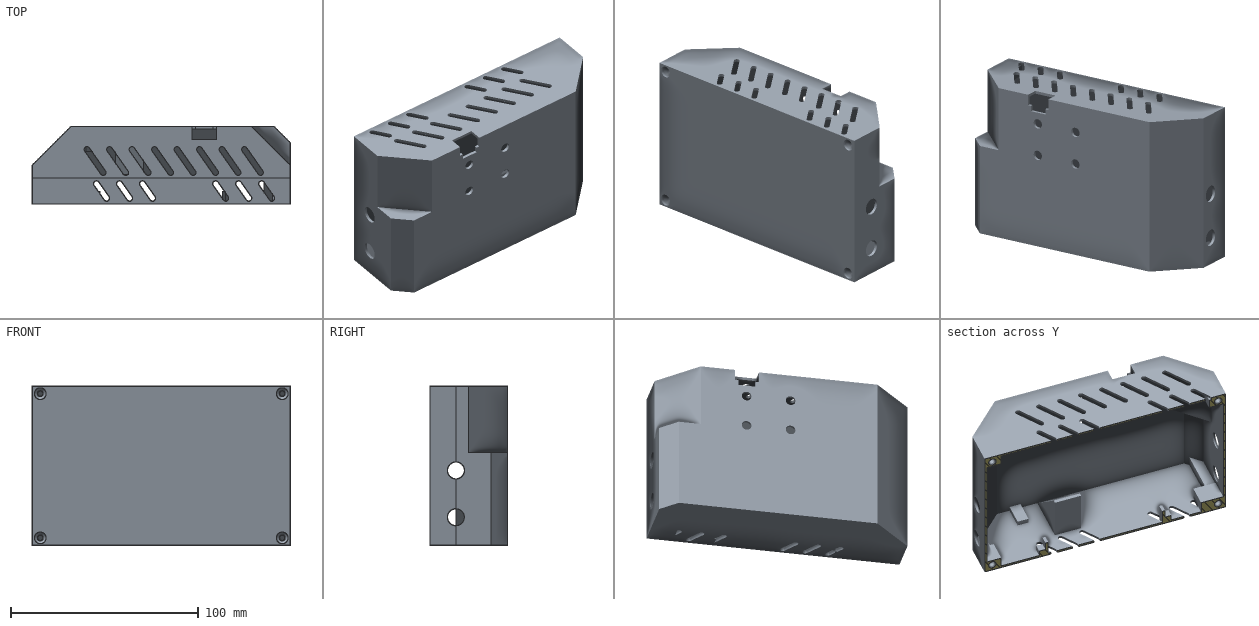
import cadquery as cq
import math

LENGTH = 138.0
DEPTH = 41.5
HEIGHT = 85.0
SEAM_Y = 14.0
WALL = 1.5
SIDE_CHAMFER = 20.8
CHAMFER_ANGLE = 45.0

CORNER_HEIGHT = 49.7
CORNER_CHAMFER = 8.8

SCREW_X_INSET = 4.4
SCREW_Z_INSET = 4.0
BOSS_HEIGHT = 7.3
HOUSING_BOSS_WIDTH = 7.3
LID_BOSS_WIDTH = 9.5
SCREW_HEAD_D = 6.2
SCREW_HEAD_DEPTH = 1.8
SCREW_CLEARANCE_D = 3.2
SCREW_PILOT_D = 2.8
SCREW_PILOT_DEPTH = 5.5

SLOT_WIDTH = 3.0
SLOT_TILT = 35.0
HOUSING_SLOT_LENGTH = 18.1
HOUSING_SLOT_COUNT = 8
HOUSING_SLOT_PITCH = 12.0
HOUSING_SLOT_X = 33.7
HOUSING_SLOT_Y = 23.0
LID_SLOT_LENGTH = 12.4
LID_SLOT_COUNT = 3
LID_SLOT_PITCH = 12.3
LID_SLOT_GROUP_X = (37.1, 100.7)
LID_SLOT_Y = 7.0

CABLE_HOLE_D = 9.0
CABLE_LOW_Z = 15.0
CABLE_HIGH_Z = 40.0

NOTCH_X = 91.9
NOTCH_WIDTH = 13.0
NOTCH_DEPTH = 7.0
NOTCH_DROP = 6.0
NOTCH_THROAT_WIDTH = 9.2
NOTCH_THROAT_DROP = 9.0

MOUNT_HOLE_D = 5.2
MOUNT_X = 80.2
MOUNT_Z = 60.7
MOUNT_SPACING_X = 24.0
MOUNT_SPACING_Z = 18.0

SUPPORT_X_INSET = 36.5
SUPPORT_WIDTH = 5.2
SUPPORT_STEP = 1.7
SUPPORT_TOP_Y = 6.9
SUPPORT_HEIGHT = 9.7
SUPPORT_FOOT_HEIGHT = 4.8

END_PAD_X = 123.8
END_PAD_HEIGHT = 8.3

WEDGE_START_X = 44.6
WEDGE_WIDTH = 15.0
WEDGE_CREST_Y = 15.7

LUG_X = 28.7
LUG_LENGTH = 6.2
LUG_FRONT_Y = 28.0
LUG_HEIGHT = 2.8


def box(x0, x1, y0, y1, z0, z1):
    """Box between two opposite corners."""
    return cq.Workplane("XY").box(x1 - x0, y1 - y0, z1 - z0, centered=False).translate((x0, y0, z0))


def cylinder_y(diameter, x, z, y0, y1):
    """Cylinder along Y from y0 to y1."""
    return cq.Workplane("XZ", origin=(x, y0, z)).circle(diameter / 2).extrude(y0 - y1)


def cylinder_x(diameter, y, z, x0, x1):
    """Cylinder along X from x0 to x1."""
    return cq.Workplane("YZ", origin=(x0, y, z)).circle(diameter / 2).extrude(x1 - x0)


def housing_form(inset):
    """Housing envelope, with every outer face but the seam moved inward by `inset`."""
    left, right, back = inset, LENGTH - inset, DEPTH - inset
    slant = inset * math.tan(math.radians(CHAMFER_ANGLE / 2))
    chamfer_y = DEPTH - SIDE_CHAMFER - slant
    chamfer_x = SIDE_CHAMFER + slant
    outline = [
        (left, SEAM_Y),
        (right, SEAM_Y),
        (right, chamfer_y),
        (LENGTH - chamfer_x, back),
        (chamfer_x, back),
        (left, chamfer_y),
    ]
    main = cq.Workplane("XY", origin=(0, 0, inset)).polyline(outline).close().extrude(HEIGHT - 2 * inset)
    corner_cut = CORNER_CHAMFER + slant
    corner_outline = [
        (right, SEAM_Y),
        (right, DEPTH - corner_cut),
        (LENGTH - corner_cut, back),
        (LENGTH - chamfer_x, back),
        (LENGTH - chamfer_x, SEAM_Y),
    ]
    corner = (
        cq.Workplane("XY", origin=(0, 0, inset))
        .polyline(corner_outline)
        .close()
        .extrude(CORNER_HEIGHT - 2 * inset)
    )
    return main.union(corner)


def screw_places():
    """X and Z of the four corner screws."""
    return [
        (x, z)
        for x in (SCREW_X_INSET, LENGTH - SCREW_X_INSET)
        for z in (SCREW_Z_INSET, HEIGHT - SCREW_Z_INSET)
    ]


def corner_bosses(width, y0, y1):
    """Four rectangular screw bosses along Y, flush with the outer corners."""
    bosses = cq.Workplane("XY")
    for x0 in (0, LENGTH - width):
        for z0 in (0, HEIGHT - BOSS_HEIGHT):
            bosses = bosses.union(box(x0, x0 + width, y0, y1, z0, z0 + BOSS_HEIGHT))
    return bosses


def slots(length, xs, y, z0, z1):
    """Row of slanted slots running along Z from z0 to z1."""
    return (
        cq.Workplane("XY", origin=(0, 0, z0))
        .pushPoints([(x, y) for x in xs])
        .slot2D(length, SLOT_WIDTH, 90 + SLOT_TILT)
        .extrude(z1 - z0)
    )


def notch():
    """Stepped connector opening through the top wall and the rear wall."""
    half, throat = NOTCH_WIDTH / 2, NOTCH_THROAT_WIDTH / 2
    mouth = box(NOTCH_X - half, NOTCH_X + half, DEPTH - NOTCH_DEPTH, DEPTH, HEIGHT - NOTCH_DROP, HEIGHT)
    lower = box(
        NOTCH_X - throat, NOTCH_X + throat, DEPTH - NOTCH_DEPTH, DEPTH, HEIGHT - NOTCH_THROAT_DROP, HEIGHT
    )
    return mouth.union(lower)


def make_housing():
    outside = housing_form(0)
    body = outside.cut(housing_form(WALL))
    body = body.union(corner_bosses(HOUSING_BOSS_WIDTH, SEAM_Y, DEPTH).intersect(outside))
    for x, z in screw_places():
        body = body.cut(cylinder_y(SCREW_PILOT_D, x, z, SEAM_Y, SEAM_Y + SCREW_PILOT_DEPTH))
    slot_xs = [HOUSING_SLOT_X + i * HOUSING_SLOT_PITCH for i in range(HOUSING_SLOT_COUNT)]
    body = body.cut(slots(HOUSING_SLOT_LENGTH, slot_xs, HOUSING_SLOT_Y, HEIGHT - WALL, HEIGHT))
    for z in (CABLE_LOW_Z, CABLE_HIGH_Z):
        body = body.cut(cylinder_x(CABLE_HOLE_D, SEAM_Y, z, 0, LENGTH))
    body = body.cut(notch())
    for side_x in (-1, 1):
        for side_z in (-1, 1):
            x = MOUNT_X + side_x * MOUNT_SPACING_X / 2
            z = MOUNT_Z + side_z * MOUNT_SPACING_Z / 2
            body = body.cut(cylinder_y(MOUNT_HOLE_D, x, z, DEPTH - WALL, DEPTH))
    lug = box(LUG_X, LUG_X + LUG_LENGTH, LUG_FRONT_Y, DEPTH - WALL, WALL, WALL + LUG_HEIGHT)
    return body.union(lug)


def lid_support():
    """Stepped support on the lid floor, on the +X side."""
    x0 = LENGTH - SUPPORT_X_INSET
    x1 = x0 + SUPPORT_WIDTH
    rail = box(x0, x0 + SUPPORT_STEP, WALL, SUPPORT_TOP_Y, WALL, SUPPORT_HEIGHT)
    foot = box(x0, x1, WALL, SUPPORT_TOP_Y, 0, SUPPORT_FOOT_HEIGHT)
    return rail.union(foot)


def screw_head(x, z):
    """Recess for a countersunk screw: a straight entry followed by a 45 degree cone."""
    head_r, hole_r = SCREW_HEAD_D / 2, SCREW_CLEARANCE_D / 2
    entry = cylinder_y(SCREW_HEAD_D, x, z, 0, SCREW_HEAD_DEPTH)
    cone_base = cq.Vector(x, SCREW_HEAD_DEPTH, z)
    cone = cq.Solid.makeCone(head_r, hole_r, head_r - hole_r, cone_base, cq.Vector(0, 1, 0))
    return entry.union(cq.Workplane(cone))


def make_lid():
    outside = box(0, LENGTH, 0, SEAM_Y, 0, HEIGHT)
    body = outside.cut(box(WALL, LENGTH - WALL, WALL, SEAM_Y, WALL, HEIGHT - WALL))
    body = body.union(corner_bosses(LID_BOSS_WIDTH, 0, SEAM_Y))
    slot_xs = [x + i * LID_SLOT_PITCH for x in LID_SLOT_GROUP_X for i in range(LID_SLOT_COUNT)]
    for z0 in (0, HEIGHT - WALL):
        body = body.cut(slots(LID_SLOT_LENGTH, slot_xs, LID_SLOT_Y, z0, z0 + WALL))
    support = lid_support()
    body = body.union(support).union(support.mirror("YZ", (LENGTH / 2, 0, 0)))
    body = body.union(box(END_PAD_X, LENGTH, 0, SEAM_Y, 0, END_PAD_HEIGHT))
    for x, z in screw_places():
        body = body.cut(cylinder_y(SCREW_CLEARANCE_D, x, z, 0, SEAM_Y))
        body = body.cut(screw_head(x, z))
    for z in (CABLE_LOW_Z, CABLE_HIGH_Z):
        body = body.cut(cylinder_x(CABLE_HOLE_D, SEAM_Y, z, 0, LENGTH))
    return body


def make_wedge():
    """Block with a 45 degree ramp falling from a narrow flat crest to the foot of the rear wall."""
    foot_y = DEPTH - WALL
    crest_z = WALL + foot_y - WEDGE_CREST_Y
    profile = [
        (SEAM_Y, WALL),
        (foot_y, WALL),
        (WEDGE_CREST_Y, crest_z),
        (SEAM_Y, crest_z),
    ]
    return cq.Workplane("YZ", origin=(WEDGE_START_X, 0, 0)).polyline(profile).close().extrude(WEDGE_WIDTH)


housing = make_housing()
lid = make_lid()
wedge = make_wedge()

result = cq.Compound.makeCompound([housing.solids().val(), lid.solids().val(), wedge.val()])